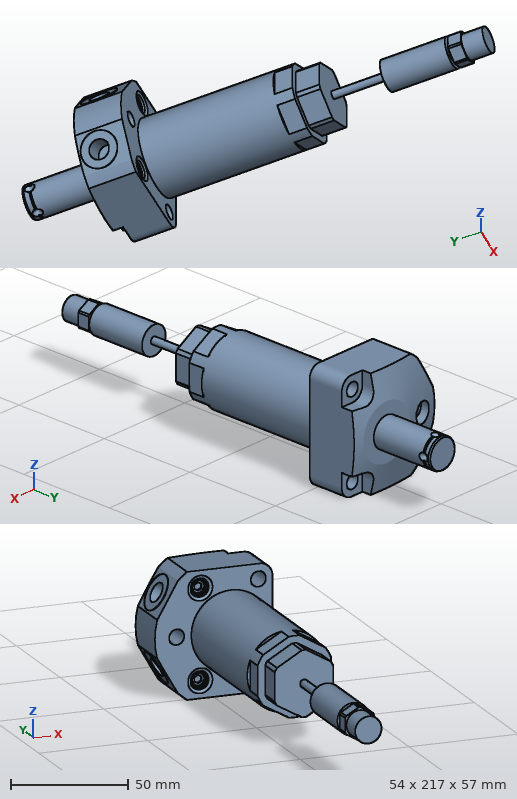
import cadquery as cq
import math


HEAD_RIM_RADIUS = 35.0
HEAD_FLAT_X = 19.0
HEAD_HEIGHT = 57.0
HEAD_DEPTH = 27.1
RIM_DROP = 4.8
BACK_FLAT_RADIUS = 14.5
CORNER_RADIUS = 5.9
SLANT_DISTANCE = 33.6
SLANT_ANGLE = 30

MOUNT_RADIUS = 3.5
SEAT_Y = 18.9
SEAT_RADIUS = 6.3
CORNER_HOLE_X = 12.5
CORNER_HOLE_Z = 21.7
SIDE_HOLE_X = -25.0
SIDE_SEAT_RADIUS = 5.2

PORT_Y = 13.2
PORT_RADIUS = 4.5
PORT_DEPTH = 10.8
PORT_SEAT_RADIUS = 8.5
PORT_SEAT_DEPTH = 0.2

SCREW_X = -14.0
SCREW_Z = 20.6
SCREW_SINK_RADIUS = 5.6
SCREW_SINK_DEPTH = 0.7
SCREW_BORE_RADIUS = 4.1
SCREW_BORE_DEPTH = 1.7
SOCKET_STEP_RADII = (3.5, 2.8)
SOCKET_STEP_DEPTH = 0.5
SOCKET_ACROSS_FLATS = 3.3
SOCKET_DEPTH = 0.9

SPIGOT_RADIUS = 8.0
SPIGOT_END_Y = 59.9
SPIGOT_CHAMFER_LENGTH = 0.9
SPIGOT_CHAMFER_HEIGHT = 0.5
GROOVE_FROM_END = 3.7
GROOVE_WIDTH = 0.7
GROOVE_DEPTH = 0.5
DIMPLE_RADIUS = 2.4

BARREL_RADIUS = 18.2
BARREL_END_Y = -64.0
COLLAR_ACROSS_FLATS = 33.8
COLLAR_END_Y = -72.5
NUT_RADIUS = 15.0
NUT_ACROSS_FLATS = 27.0
NUT_END_Y = -83.5
CABLE_RADIUS = 1.85
CABLE_END_Y = -109.1
SLEEVE_RADIUS = 7.4
SLEEVE_END_Y = -140.0
NECK_RADIUS = 4.5
NECK_END_Y = -141.0
SMALL_NUT_RADIUS = 7.4
SMALL_NUT_ACROSS_FLATS = 13.2
SMALL_NUT_END_Y = -147.1
PLUG_RADIUS = 6.0
OVERALL_LENGTH = 217
PLUG_END_Y = SPIGOT_END_Y - OVERALL_LENGTH


def rod(radius, y_back, y_front, x=0, z=0):
    """Cylinder parallel to Y, from y_back forward to y_front."""
    return (
        cq.Workplane("XZ", origin=(x, y_back, z))
        .circle(radius)
        .extrude(y_back - y_front)
    )


def hexagon(across_flats, y_back, y_front, x=0, z=0):
    """Hexagonal bar parallel to Y with two flats facing +X and -X."""
    across_corners = across_flats / math.cos(math.radians(30))
    return (
        cq.Workplane("XZ", origin=(x, y_back, z))
        .transformed(rotate=(0, 0, 30))
        .polygon(6, across_corners)
        .extrude(y_back - y_front)
    )


def trimmed_hexagon(across_flats, radius, y_back, y_front):
    """Hexagonal bar whose corners are turned down to a radius."""
    return hexagon(across_flats, y_back, y_front).intersect(rod(radius, y_back, y_front))


def slant_plane(side):
    """Plane on the upper (side = 1) or lower (side = -1) port face, X direction along Y."""
    angle = math.radians(SLANT_ANGLE)
    normal = cq.Vector(-math.cos(angle), 0, side * math.sin(angle))
    return cq.Plane(origin=normal * SLANT_DISTANCE, xDir=(0, 1, 0), normal=normal)


def head_blank():
    """Conical-backed disc, cut flat on top, bottom, +X and the two slanted faces."""
    disc = (
        cq.Workplane("XY")
        .polyline([
            (0, 0),
            (HEAD_RIM_RADIUS, 0),
            (HEAD_RIM_RADIUS, HEAD_DEPTH - RIM_DROP),
            (BACK_FLAT_RADIUS, HEAD_DEPTH),
            (0, HEAD_DEPTH),
        ])
        .close()
        .revolve(360, (0, 0), (0, 1))
    )
    width = HEAD_RIM_RADIUS + HEAD_FLAT_X
    block = (
        cq.Workplane("XY")
        .box(width, HEAD_DEPTH, HEAD_HEIGHT)
        .edges("|Y and >X")
        .fillet(CORNER_RADIUS)
        .translate((HEAD_FLAT_X - width / 2, HEAD_DEPTH / 2, 0))
    )
    head = disc.intersect(block)
    for side in (1, -1):
        waste = cq.Workplane(slant_plane(side)).rect(4 * HEAD_DEPTH, 2 * width).extrude(width)
        head = head.cut(waste)
    return head


def corner_seat(side):
    """Screw seat open toward the +X side and the top or bottom of the head."""
    reach = HEAD_RIM_RADIUS
    seat = (
        cq.Workplane("XY")
        .box(reach, HEAD_DEPTH - SEAT_Y, reach, centered=False)
        .edges("|Y and <X and <Z")
        .fillet(SEAT_RADIUS)
        .translate((CORNER_HOLE_X - SEAT_RADIUS, SEAT_Y, CORNER_HOLE_Z - SEAT_RADIUS))
    )
    return seat if side > 0 else seat.mirror("XY")


def port(side):
    """Blind port with a shallow sealing seat, square to a slanted face."""
    centre = cq.Workplane(slant_plane(side)).center(PORT_Y, 0)
    bore = centre.circle(PORT_RADIUS).extrude(-PORT_DEPTH)
    seat = centre.circle(PORT_SEAT_RADIUS).extrude(-PORT_SEAT_DEPTH)
    return bore.union(seat)


def set_screw_recess(side):
    """Countersunk bore that steps down to a hexagon socket."""
    z = side * SCREW_Z
    bore = rod(SCREW_BORE_RADIUS, SCREW_BORE_DEPTH, 0, SCREW_X, z)
    sink = cq.Workplane(
        cq.Solid.makeCone(
            SCREW_SINK_RADIUS,
            SCREW_BORE_RADIUS,
            SCREW_SINK_DEPTH,
            pnt=cq.Vector(SCREW_X, 0, z),
            dir=cq.Vector(0, 1, 0),
        )
    )
    recess = bore.union(sink)
    floor_y = SCREW_BORE_DEPTH
    for radius in SOCKET_STEP_RADII:
        floor_y += SOCKET_STEP_DEPTH
        recess = recess.union(rod(radius, floor_y, 0, SCREW_X, z))
    return recess.union(hexagon(SOCKET_ACROSS_FLATS, floor_y + SOCKET_DEPTH, 0, SCREW_X, z))


def make_head():
    """Head with its mounting holes and seats, ports and set screw recesses."""
    head = head_blank()
    head = head.cut(rod(MOUNT_RADIUS, HEAD_DEPTH, 0, SIDE_HOLE_X))
    head = head.cut(rod(SIDE_SEAT_RADIUS, HEAD_DEPTH, SEAT_Y, SIDE_HOLE_X))
    for side in (1, -1):
        head = head.cut(rod(MOUNT_RADIUS, HEAD_DEPTH, 0, CORNER_HOLE_X, side * CORNER_HOLE_Z))
        head = head.cut(corner_seat(side))
        head = head.cut(port(side))
        head = head.cut(set_screw_recess(side))
    return head


def make_spigot():
    """Rear spigot with a chamfered end, a ring groove and four conical dimples in the groove."""
    groove_y = SPIGOT_END_Y - GROOVE_FROM_END
    spigot = rod(SPIGOT_RADIUS, SPIGOT_END_Y, 0)
    spigot = spigot.faces(">Y").chamfer(SPIGOT_CHAMFER_LENGTH, SPIGOT_CHAMFER_HEIGHT)
    groove_back = groove_y + GROOVE_WIDTH / 2
    groove_front = groove_y - GROOVE_WIDTH / 2
    groove = rod(SPIGOT_RADIUS, groove_back, groove_front).cut(
        rod(SPIGOT_RADIUS - GROOVE_DEPTH, groove_back, groove_front)
    )
    spigot = spigot.cut(groove)
    dimple = cq.Workplane(
        cq.Solid.makeCone(
            0,
            DIMPLE_RADIUS,
            DIMPLE_RADIUS,
            pnt=cq.Vector(0, groove_y, SPIGOT_RADIUS - DIMPLE_RADIUS),
        )
    )
    for quarter in range(4):
        spigot = spigot.cut(dimple.rotate((0, 0, 0), (0, 1, 0), 90 * quarter))
    return spigot


def make_front_stack():
    """Barrel, collar, nut, cable, sleeve and plug, one behind the other on the axis."""
    sections = [
        trimmed_hexagon(COLLAR_ACROSS_FLATS, BARREL_RADIUS, BARREL_END_Y, COLLAR_END_Y),
        trimmed_hexagon(NUT_ACROSS_FLATS, NUT_RADIUS, COLLAR_END_Y, NUT_END_Y),
        rod(CABLE_RADIUS, NUT_END_Y, CABLE_END_Y),
        rod(SLEEVE_RADIUS, CABLE_END_Y, SLEEVE_END_Y),
        rod(NECK_RADIUS, SLEEVE_END_Y, NECK_END_Y),
        trimmed_hexagon(SMALL_NUT_ACROSS_FLATS, SMALL_NUT_RADIUS, NECK_END_Y, SMALL_NUT_END_Y),
        rod(PLUG_RADIUS, SMALL_NUT_END_Y, PLUG_END_Y),
    ]
    stack = rod(BARREL_RADIUS, 0, BARREL_END_Y)
    for section in sections:
        stack = stack.union(section)
    return stack


result = make_head().union(make_spigot()).union(make_front_stack())